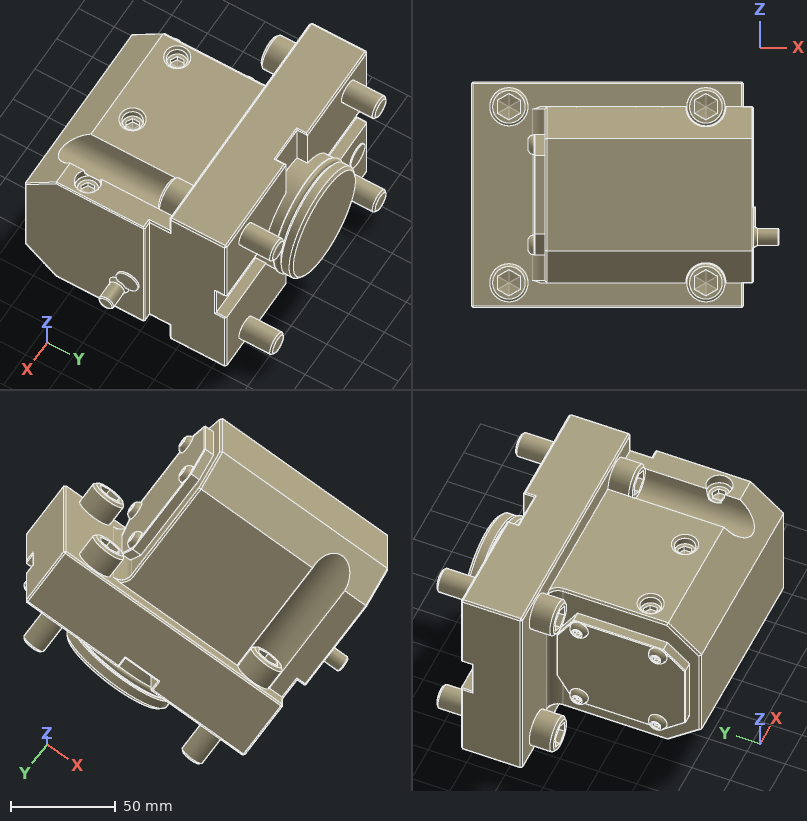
import cadquery as cq
import math


plate_width = 130.0
plate_left = -plate_width / 2
plate_right = plate_left + plate_width
plate_height = 108.0
plate_depth = 31.8
plate_chamfer = 0.9
key_slot_width = 19.4
key_slot_depth = 5.7
slot_chamfer = 0.6

bolt_spacing_x = 94.1
bolt_spacing_z = 84.1
bolt_shank_radius = 6.0
bolt_tip_y = 18.2
bolt_tip_chamfer = 1.0
bolt_head_radius = 9.1
bolt_head_height = 12.0
bolt_head_chamfer = 1.3
bolt_hex_flats = 10.9
bolt_hex_depth = 5.9
bolt_hex_point = 1.5

spigot_radius = 30.0
spigot_length = 15.5
spigot_chamfer = 1.5
ring_section_radius = 1.6
ring_radius = 29.1
seal_groove_start = 5.3
seal_groove_end = 9.5

housing_left = -29.9
housing_right = 69.7
housing_front = -109.7
housing_height = bolt_spacing_z
bevel_start = -92.4
front_height = 53.8
step_y = -42.8
root_fillet = 6.0
housing_edge_chamfer = 1.0
right_edge_chamfer = 0.6
step_chamfer = 0.9
clearance_radius = 9.5

set_screw_first_x = -21.0
set_screw_pitch = 41.0
set_screw_y = -79.7
set_screw_depth = 5.3
wide_bore_depth = 5.5
set_screw_mouth_radius = 6.5
set_screw_bore_radius = 5.1
set_screw_mouth_chamfer = set_screw_mouth_radius - set_screw_bore_radius
set_screw_hex_flats = 6.5
set_screw_hex_depth = 3.0
set_screw_hex_point = 0.9

cover_thickness = 5.3
cover_chamfer = 0.5
cover_back = -36.9
cover_front = -103.8
cover_height = 57.7
cover_back_height = 29.4
cover_front_height = 37.4
cover_back_corner = -45.5

cover_screw_back_y = -48.7
cover_screw_front_y = -89.7
cover_screw_spacing_z = 48.0
cover_screw_radius = 4.7
cover_screw_top_radius = 2.6
cover_screw_height = 2.8
dome_middle_height = 1.8
dome_middle_radius = 4.1
cover_screw_hex_flats = 3.5
cover_screw_hex_depth = 1.8
cover_screw_hex_point = 0.6

shaft_y = -56.9
shaft_z = -20.2
shaft_radius = 4.1
overall_width = 147.1
shaft_end = plate_left + overall_width
shaft_chamfer = 0.6
shaft_collar_radius = 5.3
shaft_collar_length = 2.0
cap_y = -51.9
cap_z = -12.0
cap_radius = 6.2
cap_thickness = 1.0
pad_x = -55.2
pad_z = -26.5
pad_radius = 6.5
pad_thickness = 0.6

taper_margin = 0.5
embed = 1.5


def frame(origin, outward, sideways):
    """Workplane whose local Z points outward from the surface."""
    return cq.Workplane(cq.Plane(origin=origin, normal=outward, xDir=sideways))


def hex_socket(plane, flats, depth, point):
    """Hexagonal socket sunk below a surface, ending in a shallow hexagonal point."""
    corner_diameter = flats / math.cos(math.radians(30))
    straight = plane.polygon(6, corner_diameter).extrude(-depth)
    point_taper = math.degrees(math.atan(flats / 2 / point)) - taper_margin
    tip = plane.workplane(offset=-depth).polygon(6, corner_diameter).extrude(-point, taper=point_taper)
    return straight.union(tip)


def make_plate():
    plate = (
        cq.Workplane("XY")
        .box(plate_width, plate_depth, plate_height)
        .translate((0, -plate_depth / 2, 0))
        .edges()
        .chamfer(plate_chamfer)
    )
    slot_centre_y = -key_slot_depth / 2
    upright_slot = cq.Workplane("XY").box(key_slot_width, key_slot_depth, plate_height)
    level_slot = cq.Workplane("XY").box(plate_width, key_slot_depth, key_slot_width)
    plate = plate.cut(upright_slot.union(level_slot).translate((0, slot_centre_y, 0)))
    slot_mouths = cq.selectors.BoxSelector(
        (-plate_width, -key_slot_depth - slot_chamfer, -plate_height),
        (plate_width, -plate_chamfer - slot_chamfer, plate_height),
    )
    return plate.faces("<X or >X or <Z or >Z").edges(slot_mouths).chamfer(slot_chamfer)


def make_spigot():
    root = ring_radius - ring_section_radius
    profile = [
        (0, -key_slot_depth - embed),
        (spigot_radius, -key_slot_depth - embed),
        (spigot_radius, seal_groove_start),
        (root, seal_groove_start),
        (root, seal_groove_end),
        (spigot_radius, seal_groove_end),
        (spigot_radius, spigot_length - spigot_chamfer),
        (spigot_radius - spigot_chamfer, spigot_length),
        (0, spigot_length),
    ]
    return cq.Workplane("XY").polyline(profile).close().revolve(360, (0, 0, 0), (0, 1, 0))


def make_bolt(x, z):
    head_face = -plate_depth - bolt_head_height
    plane = frame((x, head_face, z), (0, -1, 0), (0, 0, 1))
    head = (
        plane.circle(bolt_head_radius)
        .extrude(-bolt_head_height - embed)
        .faces("<Y")
        .edges()
        .chamfer(bolt_head_chamfer)
    )
    shank = (
        plane.circle(bolt_shank_radius)
        .extrude(head_face - bolt_tip_y)
        .faces(">Y")
        .edges()
        .chamfer(bolt_tip_chamfer)
    )
    socket = hex_socket(plane, bolt_hex_flats, bolt_hex_depth, bolt_hex_point)
    return head.union(shank).cut(socket)


def make_housing():
    plate_front = -plate_depth
    foot_left = housing_left - root_fillet
    fillet_middle = root_fillet * math.sqrt(0.5)
    block = (
        cq.Workplane("XY")
        .moveTo(foot_left, plate_front + embed)
        .lineTo(foot_left, plate_front)
        .threePointArc(
            (foot_left + fillet_middle, plate_front - root_fillet + fillet_middle),
            (housing_left, plate_front - root_fillet),
        )
        .lineTo(housing_left, housing_front)
        .lineTo(housing_right, housing_front)
        .lineTo(housing_right, step_y)
        .lineTo(plate_right, step_y)
        .lineTo(plate_right, plate_front + embed)
        .close()
        .extrude(housing_height / 2, both=True)
    )
    for side in (1, -1):
        bevel = (
            cq.Workplane("YZ", origin=(housing_left, 0, 0))
            .moveTo(bevel_start, side * housing_height / 2)
            .lineTo(housing_front, side * housing_height / 2)
            .lineTo(housing_front, side * front_height / 2)
            .close()
            .extrude(housing_right - housing_left)
        )
        block = block.cut(bevel)
    left_face = cq.selectors.NearestToPointSelector((housing_left, housing_front / 2, 0))
    block = block.faces(left_face).edges().chamfer(housing_edge_chamfer)
    block = block.faces(">X").edges().chamfer(right_edge_chamfer)
    return chamfer_step_ends(block)


def chamfer_step_ends(block):
    """Break the step's edges where they meet the top and bottom of the housing."""
    step_middle_y = (-plate_depth + step_y) / 2
    ledge_middle_x = (plate_right + housing_right) / 2
    for z in (-housing_height / 2, housing_height / 2):
        wall_edge = cq.selectors.NearestToPointSelector((plate_right, step_middle_y, z))
        ledge_edge = cq.selectors.NearestToPointSelector((ledge_middle_x, step_y, z))
        block = block.edges(wall_edge + ledge_edge).chamfer(step_chamfer)
    return block


def cut_bolt_clearances(body):
    """Half-round channels that let the right-hand bolts in past the housing."""
    for side in (1, -1):
        origin = (bolt_spacing_x / 2, -plate_depth, side * bolt_spacing_z / 2)
        channel = frame(origin, (0, -1, 0), (1, 0, 0)).circle(clearance_radius)
        body = body.cut(channel.extrude(-plate_depth - housing_front))
    return body


def set_screw_hole(x, top, bore_depth):
    """Countersunk bore starting at height `top`, with the screw's socket in its floor."""
    mouth = frame((x, set_screw_y, top), (0, 0, 1), (0, 1, 0))
    bore = mouth.circle(set_screw_bore_radius).extrude(-bore_depth)
    countersink = cq.Workplane(
        cq.Solid.makeCone(
            set_screw_mouth_radius,
            set_screw_bore_radius,
            set_screw_mouth_chamfer,
            pnt=cq.Vector(x, set_screw_y, top),
            dir=cq.Vector(0, 0, -1),
        )
    )
    floor = mouth.workplane(offset=-bore_depth)
    socket = hex_socket(floor, set_screw_hex_flats, set_screw_hex_depth, set_screw_hex_point)
    return bore.union(countersink).union(socket)


def cut_set_screws(body):
    """Two set screws in the top face and a third at the bottom of a wide bore by the bolt channel."""
    top = housing_height / 2
    for index in range(2):
        x = set_screw_first_x + index * set_screw_pitch
        body = body.cut(set_screw_hole(x, top, set_screw_depth))
    wide_x = set_screw_first_x + 2 * set_screw_pitch
    wide_mouth = frame((wide_x, set_screw_y, top), (0, 0, 1), (0, 1, 0))
    wide_bore = wide_mouth.circle(set_screw_mouth_radius).extrude(-wide_bore_depth)
    recessed = set_screw_hole(wide_x, top - wide_bore_depth, set_screw_mouth_chamfer)
    return body.cut(wide_bore).cut(recessed)


def make_cover():
    outline = [
        (cover_back, -cover_back_height / 2),
        (cover_back_corner, -cover_height / 2),
        (bevel_start, -cover_height / 2),
        (cover_front, -cover_front_height / 2),
        (cover_front, cover_front_height / 2),
        (bevel_start, cover_height / 2),
        (cover_back_corner, cover_height / 2),
        (cover_back, cover_back_height / 2),
    ]
    sunk_plane = cq.Workplane("YZ", origin=(housing_left + embed, 0, 0))
    cover = sunk_plane.polyline(outline).close().extrude(-cover_thickness - embed)
    return cover.faces("<X").edges().chamfer(cover_chamfer)


def make_cover_screw(y, z):
    """Button-head screw: a domed head with a small flat and a hexagonal socket."""
    cover_face = housing_left - cover_thickness
    head_face = cover_face - cover_screw_height
    head = (
        cq.Workplane("XY")
        .moveTo(cover_face + embed, 0)
        .lineTo(cover_face + embed, cover_screw_radius)
        .lineTo(cover_face, cover_screw_radius)
        .threePointArc(
            (cover_face - dome_middle_height, dome_middle_radius),
            (head_face, cover_screw_top_radius),
        )
        .lineTo(head_face, 0)
        .close()
        .revolve(360, (0, 0, 0), (1, 0, 0))
        .translate((0, y, z))
    )
    plane = frame((head_face, y, z), (-1, 0, 0), (0, 1, 0))
    socket = hex_socket(plane, cover_screw_hex_flats, cover_screw_hex_depth, cover_screw_hex_point)
    return head.cut(socket)


def make_shaft():
    collar_end = housing_right + shaft_collar_length
    profile = [
        (housing_right - embed, 0),
        (housing_right - embed, shaft_collar_radius),
        (housing_right, shaft_collar_radius),
        (collar_end, shaft_radius),
        (shaft_end - shaft_chamfer, shaft_radius),
        (shaft_end, shaft_radius - shaft_chamfer),
        (shaft_end, 0),
    ]
    shaft = cq.Workplane("XY").polyline(profile).close().revolve(360, (0, 0, 0), (1, 0, 0))
    return shaft.translate((0, shaft_y, shaft_z))


def make_drive():
    """Plate, housing and everything fixed to them, as one solid."""
    body = make_plate().union(make_spigot())
    body = body.union(cut_set_screws(cut_bolt_clearances(make_housing())))
    for x in (-bolt_spacing_x / 2, bolt_spacing_x / 2):
        for z in (-bolt_spacing_z / 2, bolt_spacing_z / 2):
            body = body.union(make_bolt(x, z))
    body = body.union(make_cover())
    for y in (cover_screw_back_y, cover_screw_front_y):
        for z in (-cover_screw_spacing_z / 2, cover_screw_spacing_z / 2):
            body = body.union(make_cover_screw(y, z))
    cap_plane = frame((housing_right - embed, cap_y, cap_z), (1, 0, 0), (0, 1, 0))
    cap = cap_plane.circle(cap_radius).extrude(embed + cap_thickness)
    pad_plane = frame((pad_x, -embed, pad_z), (0, 1, 0), (1, 0, 0))
    pad = pad_plane.circle(pad_radius).extrude(embed + pad_thickness)
    return body.union(make_shaft()).union(cap).union(pad)


def make_sealing_ring():
    ring_y = seal_groove_start + ring_section_radius
    section = cq.Workplane("XY").center(ring_radius, ring_y).circle(ring_section_radius)
    return section.revolve(360, (-ring_radius, 0, 0), (-ring_radius, 1, 0))


drive = make_drive()
sealing_ring = make_sealing_ring()

result = cq.Compound.makeCompound([drive.val(), sealing_ring.val()])